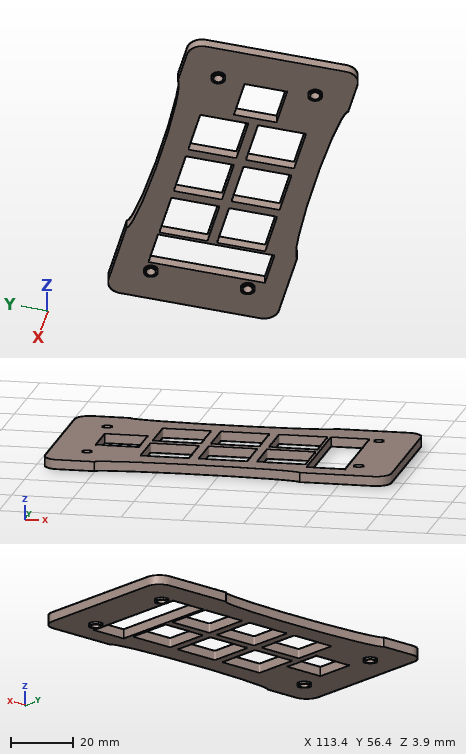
import cadquery as cq

length = 113.4
width = 56.4
total_height = 3.9
boss_height = 0.7
thickness = total_height - boss_height
corner_radius = 5.0

waist_center_x = -5.9
waist_half_length = 33.6
waist_depth = 2.7

hole_diameter = 3.2
boss_diameter = 4.5
hole_spacing_x = 88.9
hole_spacing_y = 32.0

key_columns = 3
key_rows = 2
key_size = 15.9
key_pitch = 19.0
key_corner_radius = 0.5
key_grid_x = 0.3

square_size = 14.1
square_x = -36.4
slot_length = 38.4
slot_width = 12.6
slot_x = 34.7
slot_y = -1.6


def plate():
    """Rounded plate with its underside on Z = 0."""
    body = cq.Workplane("XY").rect(length, width).extrude(thickness)
    return body.edges("|Z").fillet(corner_radius)


def waists():
    """Elliptical cutters centred on the two long edges."""
    centers = [(waist_center_x, side * width / 2) for side in (-1, 1)]
    return (
        cq.Workplane("XY")
        .pushPoints(centers)
        .ellipse(waist_half_length, waist_depth)
        .extrude(thickness)
    )


def mounting_cylinders(diameter, height):
    """Four cylinders at the mounting points, rising from the boss ends."""
    return (
        cq.Workplane("XY")
        .workplane(offset=-boss_height)
        .rect(hole_spacing_x, hole_spacing_y, forConstruction=True)
        .vertices()
        .circle(diameter / 2)
        .extrude(height)
    )


def key_openings():
    """Grid of square cutters with slightly rounded corners."""
    cutters = (
        cq.Workplane("XY")
        .center(key_grid_x, 0)
        .rarray(key_pitch, key_pitch, key_columns, key_rows)
        .rect(key_size, key_size)
        .extrude(thickness)
    )
    return cutters.edges("|Z").fillet(key_corner_radius)


def rectangular_opening(x, y, size_x, size_y):
    """Sharp-cornered cutter through the plate."""
    return cq.Workplane("XY").center(x, y).rect(size_x, size_y).extrude(thickness)


result = (
    plate()
    .cut(waists())
    .union(mounting_cylinders(boss_diameter, total_height))
    .cut(mounting_cylinders(hole_diameter, total_height))
    .cut(key_openings())
    .cut(rectangular_opening(square_x, 0, square_size, square_size))
    .cut(rectangular_opening(slot_x, slot_y, slot_width, slot_length))
)